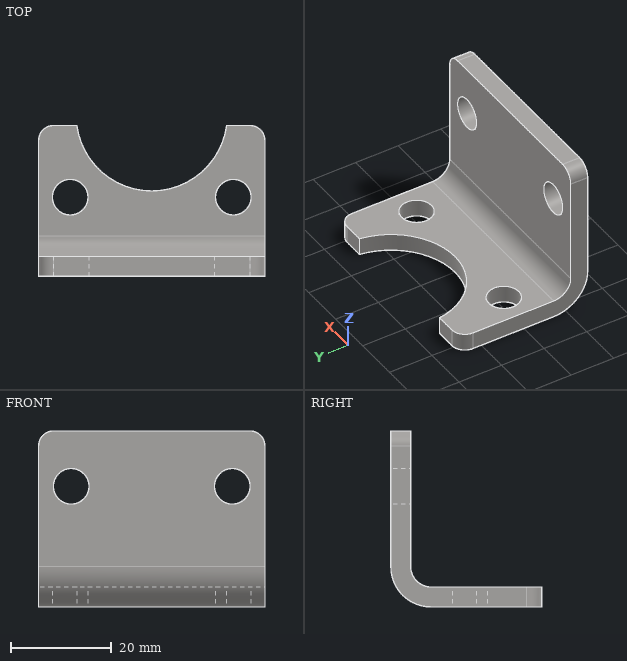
import cadquery as cq

width = 45.0
depth = 30.0
height = 35.0

thickness = 4.0
inner_bend_radius = 4.0
outer_bend_radius = inner_bend_radius + thickness
corner_radius = 3.0

hole_diameter = 7.0
wall_hole_spacing = 32.0
wall_hole_height = 24.0
base_hole_spacing = 32.4
base_hole_setback = 15.75

notch_radius = 15.0
notch_center_overhang = 2.0


def bent_sheet():
    """L-shaped sheet: base on Z = 0, wall with its outer face on Y = 0."""
    profile = (
        cq.Workplane("YZ")
        .moveTo(depth, 0)
        .lineTo(outer_bend_radius, 0)
        .radiusArc((0, outer_bend_radius), outer_bend_radius)
        .lineTo(0, height)
        .lineTo(thickness, height)
        .lineTo(thickness, outer_bend_radius)
        .radiusArc((outer_bend_radius, thickness), -inner_bend_radius)
        .lineTo(depth, thickness)
        .close()
    )
    sheet = profile.extrude(width / 2, both=True)
    sheet = sheet.faces(">Z").edges("|Y").fillet(corner_radius)
    return sheet.faces(">Y").edges("|Z").fillet(corner_radius)


def hole_pair(plane, spacing, offset, length):
    """Two cylinders, symmetric about X = 0, cutting through one leg."""
    centers = [(-spacing / 2, offset), (spacing / 2, offset)]
    return cq.Workplane(plane).pushPoints(centers).circle(hole_diameter / 2).extrude(length)


wall_holes = hole_pair("XZ", wall_hole_spacing, wall_hole_height, -thickness)
base_holes = hole_pair("XY", base_hole_spacing, base_hole_setback, thickness)

notch = (
    cq.Workplane("XY")
    .center(0, depth + notch_center_overhang)
    .circle(notch_radius)
    .extrude(thickness)
)

result = bent_sheet().cut(wall_holes).cut(base_holes).cut(notch)